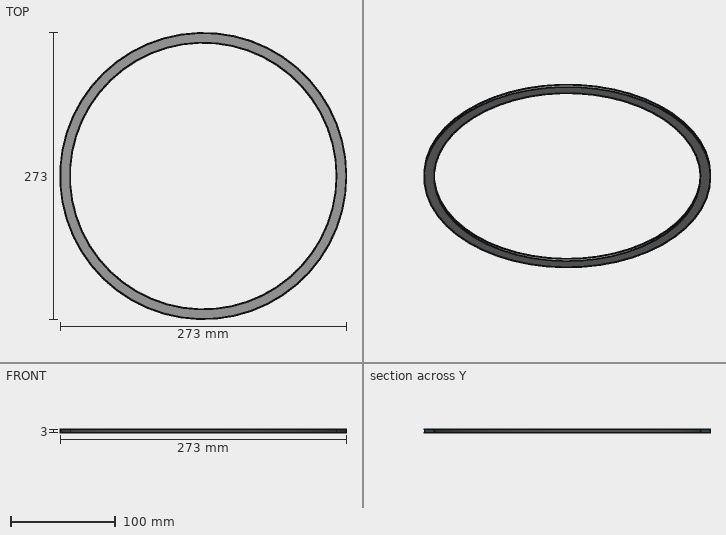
import cadquery as cq

outer_diameter = 273.0
inner_diameter = 254.0
thickness = 3.0

result = (
    cq.Workplane("XY")
    .circle(outer_diameter / 2)
    .circle(inner_diameter / 2)
    .extrude(thickness)
)